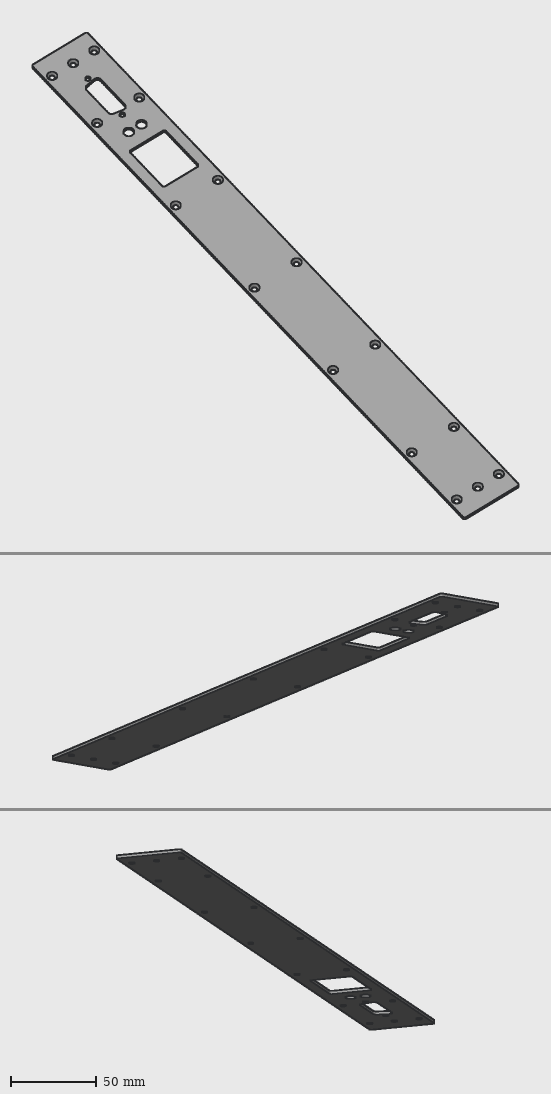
import cadquery as cq
import math

LENGTH = 419.1
WIDTH = 40.64
THICKNESS = 2.0
CORNER_RADIUS = 1.27

SCREW_HOLE_DIAMETER = 3.2
SCREW_HEAD_DIAMETER = 6.09
COUNTERSINK_ANGLE = 82.0
SCREW_ROW_Y = 15.5
SCREW_PITCH = 76.2
SCREWS_EACH_SIDE_OF_MIDDLE = 2
END_SCREW_X = 196.0

CONNECTOR_X = -165.1
CONNECTOR_LENGTH = 29.3
CONNECTOR_HEIGHT = 11.4
CONNECTOR_SIDE_SLOPE = 10.0
CONNECTOR_CORNER_RADIUS = 2.5
CONNECTOR_FIXING_SPACING = 33.3
CONNECTOR_FIXING_DIAMETER = 3.25

INDICATOR_X = -136.0
INDICATOR_SPACING = 9.35
INDICATOR_DIAMETER = 6.35

WINDOW_X = -107.9
WINDOW_LENGTH = 33.5
WINDOW_HEIGHT = 26.3
WINDOW_CORNER_RADIUS = 1.27


def make_panel():
    """Plain plate with rounded vertical corners."""
    plate = cq.Workplane("XY").box(LENGTH, WIDTH, THICKNESS, centered=(True, True, False))
    return plate.edges("|Z").fillet(CORNER_RADIUS)


def screw_positions():
    """Two long rows of screws, plus one extra screw in the middle of each short end."""
    steps = range(-SCREWS_EACH_SIDE_OF_MIDDLE, SCREWS_EACH_SIDE_OF_MIDDLE + 1)
    row = [-END_SCREW_X] + [step * SCREW_PITCH for step in steps] + [END_SCREW_X]
    rows = [(x, y) for x in row for y in (-SCREW_ROW_Y, SCREW_ROW_Y)]
    return rows + [(-END_SCREW_X, 0), (END_SCREW_X, 0)]


def cut_screw_holes(panel):
    return (
        panel.faces(">Z")
        .workplane(origin=(0, 0, THICKNESS))
        .pushPoints(screw_positions())
        .cskHole(SCREW_HOLE_DIAMETER, SCREW_HEAD_DIAMETER, COUNTERSINK_ANGLE)
    )


def cut_round_holes(panel, positions, diameter):
    holes = cq.Workplane("XY").pushPoints(positions).circle(diameter / 2).extrude(THICKNESS)
    return panel.cut(holes)


def cut_connector(panel):
    """Opening that is wider along its +Y side, with a fixing hole at each end."""
    half_height = CONNECTOR_HEIGHT / 2
    wide_half = CONNECTOR_LENGTH / 2
    narrow_half = wide_half - CONNECTOR_HEIGHT * math.tan(math.radians(CONNECTOR_SIDE_SLOPE))
    opening = (
        cq.Workplane("XY")
        .polyline([
            (CONNECTOR_X - wide_half, half_height),
            (CONNECTOR_X - narrow_half, -half_height),
            (CONNECTOR_X + narrow_half, -half_height),
            (CONNECTOR_X + wide_half, half_height),
        ])
        .close()
        .extrude(THICKNESS)
        .edges("|Z")
        .fillet(CONNECTOR_CORNER_RADIUS)
    )
    half_spacing = CONNECTOR_FIXING_SPACING / 2
    fixings = [(CONNECTOR_X - half_spacing, 0), (CONNECTOR_X + half_spacing, 0)]
    return cut_round_holes(panel.cut(opening), fixings, CONNECTOR_FIXING_DIAMETER)


def cut_indicators(panel):
    half_spacing = INDICATOR_SPACING / 2
    positions = [(INDICATOR_X, -half_spacing), (INDICATOR_X, half_spacing)]
    return cut_round_holes(panel, positions, INDICATOR_DIAMETER)


def cut_window(panel):
    window = (
        cq.Workplane("XY")
        .center(WINDOW_X, 0)
        .rect(WINDOW_LENGTH, WINDOW_HEIGHT)
        .extrude(THICKNESS)
        .edges("|Z")
        .fillet(WINDOW_CORNER_RADIUS)
    )
    return panel.cut(window)


result = make_panel()
result = cut_screw_holes(result)
result = cut_connector(result)
result = cut_indicators(result)
result = cut_window(result)